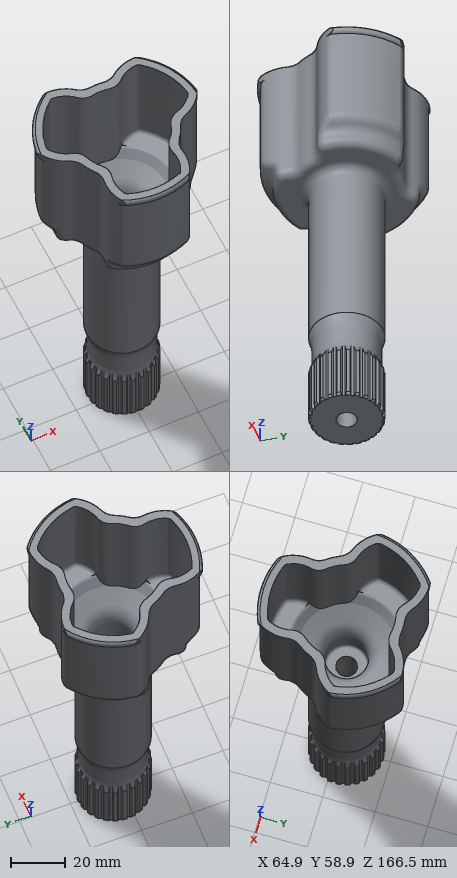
import cadquery as cq
import math

TOTAL_HEIGHT = 166.5
LOBE_COUNT = 3
FIRST_ANGLE = -90.0

HUB_RADIUS = 21.5
LOBE_CENTER = 20.4
LOBE_SIDE_RADIUS = 16.0
LIP_RADIUS = 32.69
BODY_RADIUS = 31.65
VALLEY_FILLET = 7.0
LOBE_CORNER_FILLET = 3.2

LIP_DEPTH = 3.1
STEP_TOP_DEPTH = 41.8
STEP_BOTTOM_DEPTH = 50.0
HOUSING_DEPTH = 53.8
TIER_RADIUS = 27.1
BASE_FILLET = 3.2
NECK_FILLET = 3.4

LOBE_SIDE_WALL = 3.25
CAVITY_HUB_RADIUS = 18.1
CAVITY_LOBE_SIDE_RADIUS = LOBE_SIDE_RADIUS - LOBE_SIDE_WALL
CAVITY_VALLEY_FILLET = 6.0
CAVITY_LOBE_RADIUS = 28.9
CAVITY_CORNER_FILLET = 2.0
LOBE_FLOOR_DEPTH = 43.5
LOBE_FLOOR_FILLET = 1.6
RAMP_TOP_RADIUS = 21.3
RAMP_ANGLE = 45.0
RAMP_EDGE_FILLET = 1.4
BOWL_ANGLE = 30.0
BOWL_BOTTOM_RADIUS = 11.8
BORE_RADIUS = 8.0
BORE_DEPTH = 66.0
BORE_FLOOR_FILLET = 1.0
THROUGH_HOLE_RADIUS = 3.9

SHAFT_RADIUS = 14.0
NECK_RADIUS = 12.8
NECK_RELIEF_TOP = 40.6
NECK_TOP = 34.6
NECK_BOTTOM = 27.2
SPLINE_TOP = 22.0
END_CHAMFER_WIDTH = 0.6
END_CHAMFER_HEIGHT = 1.0

SPLINE_COUNT = 25
SPLINE_ROOT_RADIUS = 13.05
SPLINE_ROOT_HALF_WIDTH = 0.5
SPLINE_TIP_HALF_WIDTH = 1.1
SPLINE_CLEARANCE = 0.5

EDGE_TOLERANCE = 0.01
COS_45 = math.cos(math.radians(45))

HOUSING_BASE = TOTAL_HEIGHT - HOUSING_DEPTH
STEP_TOP = TOTAL_HEIGHT - STEP_TOP_DEPTH
STEP_BOTTOM = TOTAL_HEIGHT - STEP_BOTTOM_DEPTH
LIP_BOTTOM = TOTAL_HEIGHT - LIP_DEPTH


def cylinder(radius, bottom, top):
    return cq.Workplane("XY", origin=(0, 0, bottom)).circle(radius).extrude(top - bottom)


def revolve_profile(profile):
    return profile.close().revolve(360, (0, 0, 0), (0, 1, 0))


def one_lobe(side_radius, end_radius, bottom, top):
    """Round prism on +X whose outer end is trimmed to an arc about the shaft axis."""
    lobe = cylinder(side_radius, bottom, top).translate((LOBE_CENTER, 0, 0))
    return lobe.intersect(cylinder(end_radius, bottom, top))


def three_lobes(side_radius, end_radius, bottom, top, hub_radius):
    lobe = one_lobe(side_radius, end_radius, bottom, top)
    shape = cylinder(hub_radius, bottom, top)
    for index in range(LOBE_COUNT):
        angle = FIRST_ANGLE + index * 360.0 / LOBE_COUNT
        shape = shape.union(lobe.rotate((0, 0, 0), (0, 0, 1), angle))
    return shape.clean()


def fillet_uprights(shape, distance, fillet):
    """Round the vertical edges that lie at the given distance from the axis."""
    def at_distance(edge):
        center = edge.Center()
        return abs(math.hypot(center.x, center.y) - distance) < EDGE_TOLERANCE

    return shape.newObject(shape.edges("|Z").filter(at_distance).vals()).fillet(fillet)


def step_envelope():
    """Round envelope that steps in from the lobe ends to the lower tier in an S curve."""
    step_in = BODY_RADIUS - TIER_RADIUS
    step_height = STEP_TOP - STEP_BOTTOM
    sweep = 2 * math.atan2(step_in, step_height)
    arc_radius = step_height / (2 * math.sin(sweep))
    half_sweep_in = arc_radius * (1 - math.cos(sweep / 2))
    half_sweep_down = arc_radius * math.sin(sweep / 2)
    middle = (BODY_RADIUS - step_in / 2, STEP_TOP - step_height / 2)
    return revolve_profile(
        cq.Workplane("XZ")
        .moveTo(0, LIP_BOTTOM)
        .lineTo(BODY_RADIUS, LIP_BOTTOM)
        .lineTo(BODY_RADIUS, STEP_TOP)
        .threePointArc((BODY_RADIUS - half_sweep_in, STEP_TOP - half_sweep_down), middle)
        .threePointArc(
            (TIER_RADIUS + half_sweep_in, STEP_BOTTOM + half_sweep_down),
            (TIER_RADIUS, STEP_BOTTOM),
        )
        .lineTo(TIER_RADIUS, HOUSING_BASE)
        .lineTo(0, HOUSING_BASE)
    )


def fillet_lobe_corners(body):
    """Round the corner chains that run from the lip, round the step, to the base."""
    def on_corner(edge):
        center = edge.Center()
        is_outside = math.hypot(center.x, center.y) > TIER_RADIUS - EDGE_TOLERANCE
        return is_outside and edge.BoundingBox().zlen > EDGE_TOLERANCE

    return body.newObject(body.edges().filter(on_corner).vals()).fillet(LOBE_CORNER_FILLET)


def lip_envelope():
    """Round envelope of the lip, with a bulging outer edge."""
    return revolve_profile(
        cq.Workplane("XZ")
        .moveTo(0, LIP_BOTTOM)
        .lineTo(BODY_RADIUS, LIP_BOTTOM)
        .threePointArc((LIP_RADIUS, TOTAL_HEIGHT - LIP_DEPTH / 2), (BODY_RADIUS, TOTAL_HEIGHT))
        .lineTo(0, TOTAL_HEIGHT)
    )


def make_housing():
    body = three_lobes(LOBE_SIDE_RADIUS, BODY_RADIUS, HOUSING_BASE, LIP_BOTTOM, HUB_RADIUS)
    body = fillet_uprights(body, HUB_RADIUS, VALLEY_FILLET)
    body = fillet_lobe_corners(body.intersect(step_envelope()))
    body = body.faces("<Z").edges().fillet(BASE_FILLET)

    lip = three_lobes(LOBE_SIDE_RADIUS, LIP_RADIUS, LIP_BOTTOM, TOTAL_HEIGHT, HUB_RADIUS)
    lip = fillet_uprights(lip, HUB_RADIUS, VALLEY_FILLET)
    lip = lip.intersect(lip_envelope())
    return body.union(lip)


def cavity_prism(bottom):
    """Prism of the cavity outline, from the given height up to the open top."""
    cavity = three_lobes(
        CAVITY_LOBE_SIDE_RADIUS, CAVITY_LOBE_RADIUS, bottom, TOTAL_HEIGHT, CAVITY_HUB_RADIUS
    )
    cavity = fillet_uprights(cavity, CAVITY_HUB_RADIUS, CAVITY_VALLEY_FILLET)
    return fillet_uprights(cavity, CAVITY_LOBE_RADIUS, CAVITY_CORNER_FILLET)


def make_lobe_cavity():
    cavity = cavity_prism(TOTAL_HEIGHT - LOBE_FLOOR_DEPTH)
    return cavity.faces("<Z").edges().fillet(LOBE_FLOOR_FILLET)


def make_central_well():
    """Central well: ramp and conical bowl that flare into a flat-bottomed bore."""
    bowl_slope = math.radians(BOWL_ANGLE)
    ramp_slope = math.radians(RAMP_ANGLE)
    ramp_top = TOTAL_HEIGHT - LOBE_FLOOR_DEPTH
    bowl_top = ramp_top - (RAMP_TOP_RADIUS - CAVITY_HUB_RADIUS) * math.tan(ramp_slope)
    bowl_bottom = bowl_top - (CAVITY_HUB_RADIUS - BOWL_BOTTOM_RADIUS) * math.tan(bowl_slope)
    edge_setback = RAMP_EDGE_FILLET * math.tan(ramp_slope / 2)
    edge_end = (
        RAMP_TOP_RADIUS - edge_setback * math.cos(ramp_slope),
        ramp_top - edge_setback * math.sin(ramp_slope),
    )
    edge_middle = (
        RAMP_TOP_RADIUS + edge_setback - RAMP_EDGE_FILLET * math.sin(ramp_slope / 2),
        ramp_top - RAMP_EDGE_FILLET * (1 - math.cos(ramp_slope / 2)),
    )
    flare_sweep = math.pi / 2 - bowl_slope
    flare_radius = (BOWL_BOTTOM_RADIUS - BORE_RADIUS) / (1 - math.cos(flare_sweep))
    flare_bottom = bowl_bottom - flare_radius * math.sin(flare_sweep)
    flare_middle = (
        BORE_RADIUS + flare_radius * (1 - math.cos(flare_sweep / 2)),
        flare_bottom + flare_radius * math.sin(flare_sweep / 2),
    )
    bore_floor = TOTAL_HEIGHT - BORE_DEPTH
    floor_corner_inset = BORE_FLOOR_FILLET * (1 - COS_45)
    bowl = revolve_profile(
        cq.Workplane("XZ")
        .moveTo(0, TOTAL_HEIGHT)
        .lineTo(RAMP_TOP_RADIUS + edge_setback, TOTAL_HEIGHT)
        .lineTo(RAMP_TOP_RADIUS + edge_setback, ramp_top)
        .threePointArc(edge_middle, edge_end)
        .lineTo(CAVITY_HUB_RADIUS, bowl_top)
        .lineTo(BOWL_BOTTOM_RADIUS, bowl_bottom)
        .threePointArc(flare_middle, (BORE_RADIUS, flare_bottom))
        .lineTo(BORE_RADIUS, bore_floor + BORE_FLOOR_FILLET)
        .threePointArc(
            (BORE_RADIUS - floor_corner_inset, bore_floor + floor_corner_inset),
            (BORE_RADIUS - BORE_FLOOR_FILLET, bore_floor),
        )
        .lineTo(0, bore_floor)
    )
    return bowl.intersect(cavity_prism(bore_floor))


def relief_radius(height_from_neck, relief_height):
    """Radius of a relief arc that leaves the neck tangentially and ends at the shaft radius."""
    rise = SHAFT_RADIUS - NECK_RADIUS
    arc_radius = (relief_height**2 + rise**2) / (2 * rise)
    return NECK_RADIUS + arc_radius - math.sqrt(arc_radius**2 - height_from_neck**2)


def make_shaft():
    top_relief = NECK_RELIEF_TOP - NECK_TOP
    bottom_relief = NECK_BOTTOM - SPLINE_TOP
    flange_radius = SHAFT_RADIUS + NECK_FILLET
    fillet_inset = NECK_FILLET * (1 - COS_45)
    return revolve_profile(
        cq.Workplane("XZ")
        .moveTo(0, 0)
        .lineTo(SHAFT_RADIUS - END_CHAMFER_WIDTH, 0)
        .lineTo(SHAFT_RADIUS, END_CHAMFER_HEIGHT)
        .lineTo(SHAFT_RADIUS, SPLINE_TOP)
        .threePointArc(
            (relief_radius(bottom_relief / 2, bottom_relief), NECK_BOTTOM - bottom_relief / 2),
            (NECK_RADIUS, NECK_BOTTOM),
        )
        .lineTo(NECK_RADIUS, NECK_TOP)
        .threePointArc(
            (relief_radius(top_relief / 2, top_relief), NECK_TOP + top_relief / 2),
            (SHAFT_RADIUS, NECK_RELIEF_TOP),
        )
        .lineTo(SHAFT_RADIUS, HOUSING_BASE - NECK_FILLET)
        .threePointArc(
            (SHAFT_RADIUS + fillet_inset, HOUSING_BASE - fillet_inset),
            (flange_radius, HOUSING_BASE),
        )
        .lineTo(flange_radius, STEP_BOTTOM)
        .lineTo(0, STEP_BOTTOM)
    )


def cut_spline(shaft):
    """Cut tapered grooves that run out where the relief drops below the root radius."""
    outer = SHAFT_RADIUS + SPLINE_CLEARANCE
    groove_depth = SHAFT_RADIUS - SPLINE_ROOT_RADIUS
    flank_slope = (SPLINE_TIP_HALF_WIDTH - SPLINE_ROOT_HALF_WIDTH) / groove_depth
    outer_half_width = SPLINE_TIP_HALF_WIDTH + flank_slope * SPLINE_CLEARANCE
    groove = (
        cq.Workplane("XY")
        .moveTo(SPLINE_ROOT_RADIUS, -SPLINE_ROOT_HALF_WIDTH)
        .lineTo(outer, -outer_half_width)
        .lineTo(outer, outer_half_width)
        .lineTo(SPLINE_ROOT_RADIUS, SPLINE_ROOT_HALF_WIDTH)
        .close()
        .extrude(NECK_BOTTOM)
    )
    grooves = cq.Workplane("XY")
    for index in range(SPLINE_COUNT):
        angle = FIRST_ANGLE + index * 360.0 / SPLINE_COUNT
        grooves.add(groove.rotate((0, 0, 0), (0, 0, 1), angle))
    cutters = cq.Compound.makeCompound(grooves.vals())
    return shaft.cut(cq.Workplane(cutters))


housing = make_housing()
shaft = cut_spline(make_shaft())
through_hole = cylinder(THROUGH_HOLE_RADIUS, 0, TOTAL_HEIGHT)
result = housing.union(shaft).cut(make_lobe_cavity()).cut(make_central_well()).cut(through_hole)